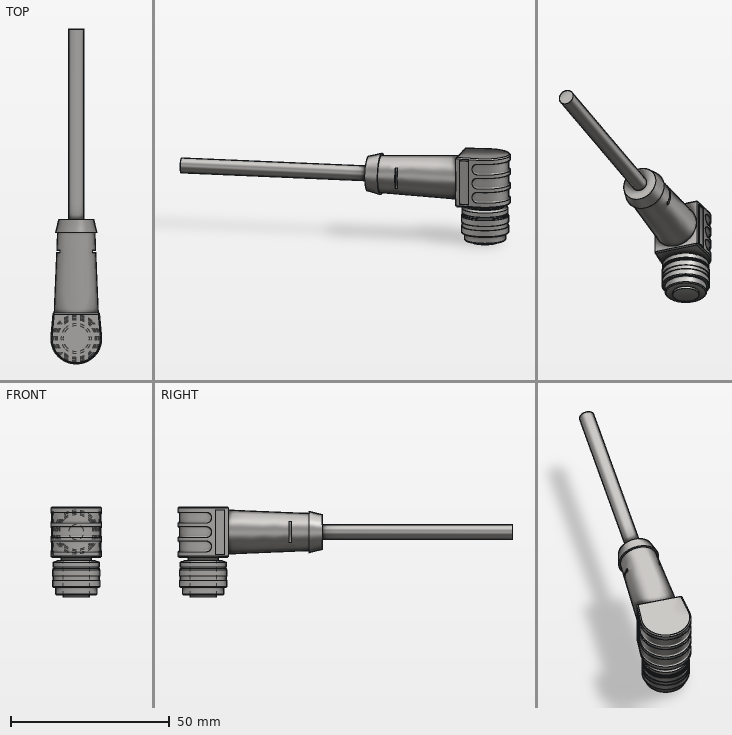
import cadquery as cq
import math


overall_length = 105.5
overall_height = 28.5

head_radius = 8.0
head_height = 15.9
head_back_y = 8.0
head_side_half_width = 7.4
back_bevel_length = 0.6
back_bevel_inset = 0.16
head_edge_chamfer = 0.4
axis_height = head_height / 2

groove_count = 3
groove_pitch = 4.5
groove_width = 3.4
groove_end_y = 2.6
groove_depth = 0.47
groove_root_fillet = 0.37
contact_tolerance = 0.01

panel_front_y = 3.8
panel_back_y = 6.8
panel_height = 14.0
panel_depth = 0.2

sleeve_head_radius = 7.0
sleeve_collar_radius = 5.9
collar_front_y = 33.3
collar_front_radius = 6.5
collar_back_y = 37.6
collar_back_radius = 5.5

notch_y = 27.4
notch_width = 0.7
notch_floor_x = 5.2

cable_diameter = 4.7
cable_end_y = overall_length - head_radius

neck_radius = 4.7
carrier_radius = 4.1
carrier_end_z = head_height - overall_height

nut_top_z = -1.1
nut_top_radius = 5.9
nut_shoulder_z = -1.6
nut_body_radius = 7.3
nut_groove_top_z = -3.1
nut_groove_bottom_z = -3.6
nut_groove_radius = 7.0
nut_band_radius = 7.5
upper_band_top_z = -4.0
upper_band_bottom_z = -5.9
lower_band_top_z = -7.3
lower_band_bottom_z = -9.5
nut_end_z = -11.8
nut_end_radius = 6.5
nut_chamfer = 0.3


def head_outline(inset):
    """Plan outline of the head: a flat back with bevelled corners, tapered sides and a tangent round nose."""
    radius = head_radius - inset
    corner_x = head_side_half_width - inset
    corner_y = head_back_y - back_bevel_length
    back_x = corner_x - back_bevel_inset
    corner_distance = math.hypot(corner_x, corner_y)
    tangent_angle = math.atan2(corner_y, corner_x) - math.acos(radius / corner_distance)
    tangent_x = radius * math.cos(tangent_angle)
    tangent_y = radius * math.sin(tangent_angle)
    return (
        cq.Workplane("XY")
        .moveTo(back_x, head_back_y)
        .lineTo(corner_x, corner_y)
        .lineTo(tangent_x, tangent_y)
        .threePointArc((0, -radius), (-tangent_x, tangent_y))
        .lineTo(-corner_x, corner_y)
        .lineTo(-back_x, head_back_y)
        .close()
    )


def head_skin(depth):
    """The layer of the head within the given depth of its side walls."""
    return head_outline(0).extrude(head_height).cut(head_outline(depth).extrude(head_height))


def lies_on(edge, solid):
    """Whether the middle of the edge touches the solid."""
    middle = cq.Vertex.makeVertex(*edge.positionAt(0.5).toTuple())
    return solid.distance(middle) < contact_tolerance


def grip_groove(height):
    """A band around the nose whose two ends are rounded on the sides of the head."""
    end_centre_y = groove_end_y - groove_width / 2
    front_y = -2 * head_radius
    band = (
        cq.Workplane("YZ")
        .moveTo(front_y, height - groove_width / 2)
        .lineTo(end_centre_y, height - groove_width / 2)
        .threePointArc((groove_end_y, height), (end_centre_y, height + groove_width / 2))
        .lineTo(front_y, height + groove_width / 2)
        .close()
        .extrude(head_radius, both=True)
    )
    floor = head_outline(groove_depth).extrude(head_height).val()
    groove = band.intersect(head_skin(groove_depth))
    floor_edges = groove.edges().filter(lambda edge: lies_on(edge, floor))
    return floor_edges.fillet(groove_root_fillet)


def label_panels():
    """The recesses for the label panels on both sides of the head."""
    band = cq.Workplane("XY").box(4 * head_radius, panel_back_y - panel_front_y, panel_height)
    band = band.translate((0, (panel_front_y + panel_back_y) / 2, axis_height))
    return band.intersect(head_skin(panel_depth))


def make_head():
    head = head_outline(0).extrude(head_height)
    head = head.faces("<Z or >Z").edges().chamfer(head_edge_chamfer)
    for index in range(groove_count):
        offset = (index - (groove_count - 1) / 2) * groove_pitch
        head = head.cut(grip_groove(axis_height + offset))
    return head.cut(label_panels())


def make_sleeve():
    """The tapered sleeve and its collar, with a flat-bottomed notch in each side."""
    sleeve = (
        cq.Workplane("XY")
        .moveTo(0, head_back_y)
        .lineTo(sleeve_head_radius, head_back_y)
        .lineTo(sleeve_collar_radius, collar_front_y)
        .lineTo(collar_front_radius, collar_front_y)
        .lineTo(collar_back_radius, collar_back_y)
        .lineTo(0, collar_back_y)
        .close()
        .revolve(360, (0, 0, 0), (0, 1, 0))
        .translate((0, 0, axis_height))
    )
    notch_reach = 2 * sleeve_head_radius
    for side in (-1, 1):
        notch = cq.Workplane("XY").box(notch_reach, notch_width, notch_reach)
        notch_x = side * (notch_floor_x + notch_reach / 2)
        sleeve = sleeve.cut(notch.translate((notch_x, notch_y, axis_height)))
    return sleeve


def make_plug_core():
    """The neck and the thinner contact carrier that reaches through the nut."""
    neck = cq.Workplane("XY").circle(neck_radius).extrude(nut_top_z)
    carrier = cq.Workplane("XY").circle(carrier_radius).extrude(carrier_end_z)
    return neck.union(carrier)


def make_housing():
    return make_head().union(make_sleeve()).union(make_plug_core())


def make_nut():
    """The coupling nut: a bored ring with a groove and two raised bands."""
    return (
        cq.Workplane("XZ")
        .moveTo(carrier_radius, nut_top_z)
        .lineTo(nut_top_radius, nut_top_z)
        .lineTo(nut_body_radius, nut_shoulder_z)
        .lineTo(nut_body_radius, nut_groove_top_z)
        .lineTo(nut_groove_radius, nut_groove_top_z)
        .lineTo(nut_groove_radius, nut_groove_bottom_z)
        .lineTo(nut_body_radius, nut_groove_bottom_z)
        .lineTo(nut_body_radius, upper_band_top_z)
        .lineTo(nut_band_radius, upper_band_top_z)
        .lineTo(nut_band_radius, upper_band_bottom_z)
        .lineTo(nut_body_radius, upper_band_bottom_z)
        .lineTo(nut_body_radius, lower_band_top_z)
        .lineTo(nut_band_radius, lower_band_top_z)
        .lineTo(nut_band_radius, lower_band_bottom_z + nut_chamfer)
        .lineTo(nut_band_radius - nut_chamfer, lower_band_bottom_z)
        .lineTo(nut_end_radius, lower_band_bottom_z)
        .lineTo(nut_end_radius, nut_end_z + nut_chamfer)
        .lineTo(nut_end_radius - nut_chamfer, nut_end_z)
        .lineTo(carrier_radius, nut_end_z)
        .close()
        .revolve(360, (0, 0, 0), (0, 1, 0))
    )


def make_cable():
    """The cable, which starts flush at the end of the sleeve."""
    cable = cq.Workplane("XZ").circle(cable_diameter / 2).extrude(collar_back_y - cable_end_y)
    return cable.translate((0, collar_back_y, axis_height))


housing = make_housing()
nut = make_nut()
cable = make_cable()

result = cq.Compound.makeCompound([housing.val(), nut.val(), cable.val()])